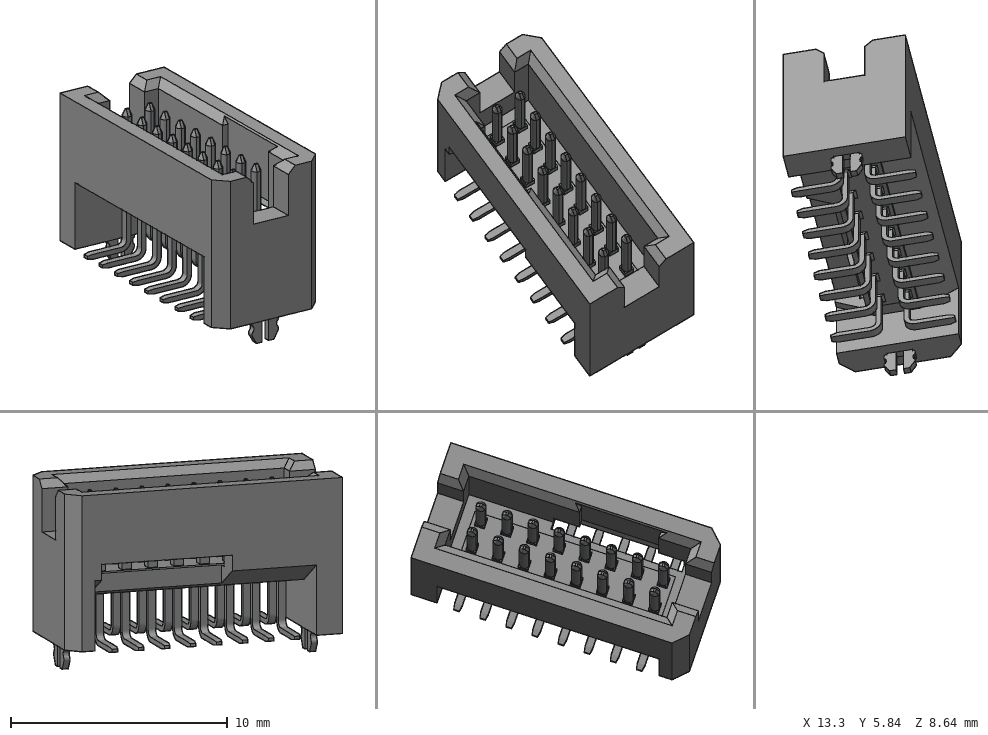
import cadquery as cq
import math


pitch = 1.27
columns = 8
row_offset = pitch / 2

length = 13.34
width = 5.76
height = 7.36
standoff = 0.165
base_z = standoff
top_z = base_z + height
corner_chamfer = 0.635

end_wall = 1.27
side_wall = 1.16
cavity_length = length - 2 * end_wall
cavity_width = width - 2 * side_wall
lead_in = 0.38
floor_z = top_z - 4.05
underside_z = top_z - 5.07
skirt_z = top_z - 4.04
skirt_run = (skirt_z - underside_z) / math.tan(math.radians(30))

notch_width = 1.92
notch_depth = 2.42

key_left = -0.01
key_right = 3.83
key_depth = 0.3
key_sill_run = 0.14
key_sill_rise = key_sill_run * math.tan(math.radians(60))
window_left = -1.29
window_right = 5.08
window_top_z = top_z - 3.3
window_front_y = 1.38

block_length = 9.76
block_width = 2.12

pin_arc_diameter = 0.5
pin_half_width = 0.225
pin_half_flat = 0.085
pin_square = 0.47
pin_top_z = top_z - 0.53
tip_length = 0.32
tip_diameter = 0.17
tip_half_flat = 0.07
collar_height = 0.3
stub_length = 0.08

tail_width = 0.37
tail_thickness = 0.25
tail_back_y = 0.535
bend_radius = 0.3
foot_end_y = 2.92
foot_taper_length = 0.28
foot_taper = 0.05

lock_x = length / 2 - end_wall / 2
lock_thickness = 0.3
lock_bottom_z = top_z - 8.64
lock_slit = 0.35
lock_neck = 0.6
lock_bulge = 0.73
lock_waist = 0.63
lock_tip = 0.48
lock_root_height = 1.0

lock_neck_drop = 0.06
barb_drop = 0.34
groove_top_drop = 0.39
groove_bottom_drop = 0.65
groove_edge = 0.67
lower_bulge_drop = 0.77
taper_start = 0.72
taper_drop = 0.86


def box(x0, x1, y0, y1, z0, z1):
    """Block between two corners."""
    return cq.Workplane("XY").box(x1 - x0, y1 - y0, z1 - z0, centered=False).translate((x0, y0, z0))


def prism_along_x(points, x0, x1):
    """Closed (y, z) outline extruded from x0 to x1."""
    return cq.Workplane("YZ").polyline(points).close().extrude(x1 - x0).translate((x0, 0, 0))


def prism_along_y(points, y0, y1):
    """Closed (x, z) outline extruded from y0 to y1."""
    return cq.Workplane("XZ").polyline(points).close().extrude(y0 - y1).translate((0, y0, 0))


def mating_cavity():
    straight = box(
        -cavity_length / 2, cavity_length / 2, -cavity_width / 2, cavity_width / 2, floor_z, top_z
    )
    mouth = (
        cq.Workplane("XY", origin=(0, 0, top_z - lead_in))
        .rect(cavity_length, cavity_width)
        .workplane(offset=lead_in)
        .rect(cavity_length + 2 * lead_in, cavity_width + 2 * lead_in)
        .loft(ruled=True)
    )
    return straight.union(mouth)


def end_notches():
    half = notch_width / 2
    outline = [
        (-half, top_z - notch_depth),
        (half, top_z - notch_depth),
        (half, top_z - lead_in),
        (half + lead_in, top_z),
        (-half - lead_in, top_z),
        (-half, top_z - lead_in),
    ]
    return prism_along_x(outline, -length / 2, length / 2)


def underside_arch():
    """Opening between the legs; its roof slopes down from the side skirts to the middle."""
    half = width / 2
    outline = [
        (-half, base_z),
        (half, base_z),
        (half, skirt_z),
        (half - skirt_run, underside_z),
        (-half + skirt_run, underside_z),
        (-half, skirt_z),
    ]
    return prism_along_x(outline, -cavity_length / 2, cavity_length / 2)


def key_slot():
    inner_y = cavity_width / 2
    outer_y = inner_y + key_depth
    mouth = [
        (key_left, window_top_z),
        (key_right, window_top_z),
        (key_right, top_z - lead_in),
        (key_right + lead_in, top_z),
        (key_left - lead_in, top_z),
        (key_left, top_z - lead_in),
    ]
    profile = [
        (0, window_top_z),
        (outer_y - key_sill_run, window_top_z),
        (outer_y, window_top_z + key_sill_rise),
        (outer_y, top_z),
        (0, top_z),
    ]
    reach = prism_along_x(profile, key_left - lead_in, key_right + lead_in)
    return prism_along_y(mouth, 0, outer_y).intersect(reach)


def back_window():
    return box(window_left, window_right, window_front_y, width / 2, base_z, window_top_z)


def make_housing():
    body = box(-length / 2, length / 2, -width / 2, width / 2, base_z, top_z)
    body = body.edges("|Z and >X").chamfer(corner_chamfer)
    for opening in (mating_cavity(), end_notches(), underside_arch(), key_slot(), back_window()):
        body = body.cut(opening)
    return body


def block_volume():
    """Volume of the contact block, and of its seat in the cavity floor."""
    return box(
        -block_length / 2, block_length / 2, -block_width / 2, block_width / 2, underside_z, floor_z
    )


def flatted_round(plane, diameter, half_width, half_flat):
    """Add an outline of two arcs bulging to +Y and -Y, joined by narrow flats on +X and -X."""
    radius = diameter / 2
    flat_x = math.sqrt(radius**2 - (half_flat + radius - half_width) ** 2)
    return (
        plane.moveTo(flat_x, -half_flat)
        .lineTo(flat_x, half_flat)
        .threePointArc((0, half_width), (-flat_x, half_flat))
        .lineTo(-flat_x, -half_flat)
        .threePointArc((0, -half_width), (flat_x, -half_flat))
        .close()
    )


def pin_post():
    """Round post with two narrow flats and a tapered tip, rising from a square collar."""
    shoulder_z = pin_top_z - tip_length
    post_outline = (pin_arc_diameter, pin_half_width, pin_half_flat)
    tip_outline = (tip_diameter, tip_diameter / 2, tip_half_flat)
    foot = cq.Workplane("XY", origin=(0, 0, underside_z))
    post = flatted_round(foot, *post_outline).extrude(shoulder_z - underside_z)
    shoulder = cq.Workplane("XY", origin=(0, 0, shoulder_z))
    tip_base = flatted_round(shoulder, *post_outline).workplane(offset=tip_length)
    tip = flatted_round(tip_base, *tip_outline).loft(ruled=True)
    half = pin_square / 2
    collar = box(-half, half, -half, half, underside_z, floor_z + collar_height)
    return post.union(tip).union(collar)


def pin_stub():
    """Short tapered transition from the square pin to its flat tail, centred on the tail."""
    tail_mid_y = -(tail_back_y + tail_thickness / 2)
    return (
        cq.Workplane("XY", origin=(0, 0, underside_z))
        .rect(pin_square, pin_square)
        .workplane(offset=-stub_length)
        .center(0, tail_mid_y + row_offset)
        .rect(tail_width, tail_thickness)
        .loft(ruled=True)
        .translate((0, -row_offset, 0))
    )


def pin_tail():
    """Flat strip running down, then bent outward to -Y into a foot with a tapered end."""
    outer_radius = bend_radius + tail_thickness
    center_y = -(tail_back_y + outer_radius)
    center_z = outer_radius
    front_y = -(tail_back_y + tail_thickness)
    diagonal = math.sqrt(0.5)
    taper_y = -(foot_end_y - foot_taper_length)
    strip_top_z = underside_z - stub_length
    profile = (
        cq.Workplane("YZ")
        .moveTo(-tail_back_y, strip_top_z)
        .lineTo(-tail_back_y, center_z)
        .threePointArc(
            (center_y + outer_radius * diagonal, center_z - outer_radius * diagonal), (center_y, 0)
        )
        .lineTo(taper_y, 0)
        .lineTo(taper_y, tail_thickness)
        .lineTo(center_y, tail_thickness)
        .threePointArc(
            (center_y + bend_radius * diagonal, center_z - bend_radius * diagonal), (front_y, center_z)
        )
        .lineTo(front_y, strip_top_z)
        .close()
    )
    strip = profile.extrude(tail_width / 2, both=True)
    foot_tip = (
        cq.Workplane("XZ", origin=(0, taper_y, tail_thickness / 2))
        .rect(tail_width, tail_thickness)
        .workplane(offset=foot_taper_length)
        .rect(tail_width - 2 * foot_taper, tail_thickness - 2 * foot_taper)
        .loft(ruled=True)
    )
    return strip.union(foot_tip)


def make_contacts():
    """Contact block with both rows of pins; the rear row is the front row turned half round."""
    front_pin = pin_post().translate((0, -row_offset, 0)).union(pin_stub()).union(pin_tail())
    rear_pin = front_pin.rotate((0, 0, 0), (0, 0, 1), 180)
    contacts = block_volume()
    for column in range(columns):
        x = (column - (columns - 1) / 2) * pitch
        contacts = contacts.union(front_pin.translate((x, 0, 0)))
        contacts = contacts.union(rear_pin.translate((x, 0, 0)))
    return contacts


def lock_root(x):
    """Part of a board lock that is held in the leg, and its matching slot."""
    half = lock_thickness / 2
    return box(x - half, x + half, -lock_neck, lock_neck, base_z, base_z + lock_root_height)


def make_board_lock(x):
    """Split barbed tongue: two mirrored prongs below one root."""
    diagonal = math.sqrt(0.5)
    lock_round = lock_bulge - lock_neck
    round_z = base_z - lock_neck_drop - lock_round
    groove_mid_z = base_z - (groove_top_drop + groove_bottom_drop) / 2
    prong = (
        cq.Workplane("YZ")
        .moveTo(lock_slit / 2, base_z)
        .lineTo(lock_neck, base_z)
        .lineTo(lock_neck, round_z + lock_round)
        .threePointArc(
            (lock_neck + lock_round * diagonal, round_z + lock_round * diagonal),
            (lock_bulge, round_z),
        )
        .lineTo(lock_bulge, base_z - barb_drop)
        .lineTo(groove_edge, base_z - groove_top_drop)
        .threePointArc((lock_waist, groove_mid_z), (groove_edge, base_z - groove_bottom_drop))
        .threePointArc(
            (lock_bulge, base_z - lower_bulge_drop), (taper_start, base_z - taper_drop)
        )
        .lineTo(lock_tip, lock_bottom_z)
        .lineTo(lock_slit / 2, lock_bottom_z)
        .close()
        .extrude(lock_thickness / 2, both=True)
    )
    prongs = prong.union(prong.mirror("XZ")).translate((x, 0, 0))
    return lock_root(x).union(prongs)


lock_places = (-lock_x, lock_x)

housing = make_housing().cut(block_volume())
for place in lock_places:
    housing = housing.cut(lock_root(place))

contacts = make_contacts()
board_locks = [make_board_lock(place) for place in lock_places]

result = cq.Compound.makeCompound([housing.val(), contacts.val(), *[lock.val() for lock in board_locks]])